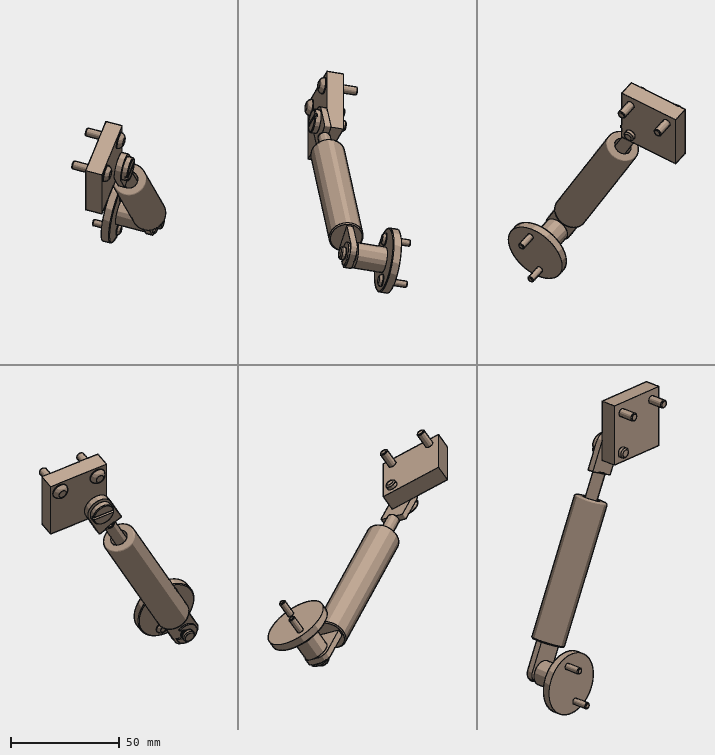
import cadquery as cq
import math


plate_size = 30.0
plate_edge = 5.0
total_y = 86.0
total_z = 139.1
disc_radius = plate_size / 2
plate_y_min = disc_radius - total_y
plate_y_max = plate_y_min + plate_size
plate_z_max = total_z - disc_radius
plate_z_min = plate_z_max - plate_size
pivot_y = plate_y_max - plate_edge
pivot_z = plate_z_min + plate_edge
strut_length = math.hypot(pivot_y, pivot_z)
strut_tilt = math.degrees(math.atan2(-pivot_y, pivot_z))
strut_x = 20.3
blade_thickness = 3.0
blade_x_min = strut_x - blade_thickness / 2
blade_x_max = strut_x + blade_thickness / 2

disc_thickness = 4.0
disc_chamfer = 0.4
base_angle = 15.0
boss_radius = 6.0
boss_length = 13.9
pin_radius = 2.9
pin_end_x = 25.2
pin_chamfer = 0.5

clip_radius = 5.4
clip_thickness = 0.8
clip_groove_radius = 2.5
clip_groove_width = 1.1

screw_protrusion = 7.9
screw_chamfer = 0.4
base_screw_radius = 1.5
base_head_radius = 2.9
base_head_height = 1.7
base_screw_circle = 10.0
plate_screw_radius = 2.0
plate_head_radius = 3.9
plate_head_height = 2.5
head_rim = 0.4
dome_bulge = 0.125

plate_thickness = 7.9
plate_x_max = blade_x_min
plate_x_min = plate_x_max - plate_thickness
pivot_radius = 2.5
pivot_protrusion = 2.4
pivot_chamfer = 0.7
pivot_head_radius = 5.5
pivot_head_height = 2.9
pivot_head_chamfer = 0.4
pivot_slot_width = 1.3
pivot_slot_depth = 1.3

cylinder_radius = 7.9
cylinder_start = 13.9
cylinder_length = 69.8
cylinder_end = cylinder_start + cylinder_length
cylinder_top_fillet = 1.0
cylinder_bottom_chamfer = 0.5
bore_radius = 4.0
bore_depth = 50.1

rod_radius = 2.9
rod_chamfer = 0.4
rod_start = cylinder_end - bore_depth

blade_half_width = 6.5
rod_blade_tip = 7.4
cylinder_blade_tip = 4.7
cylinder_blade_corner = 4.3
blade_reach = 12.8
blade_corner = 0.5
rod_overlap = 0.5


def x_cylinder(radius, x_start, x_end, y=0.0, z=0.0):
    """Cylinder parallel to X."""
    return cq.Workplane("YZ", origin=(x_start, y, z)).circle(radius).extrude(x_end - x_start)


def strut_cylinder(radius, start, end):
    """Cylinder along the untilted strut."""
    return cq.Workplane("XY", origin=(strut_x, 0, start)).circle(radius).extrude(end - start)


def blade_bar(start, end):
    """Flat bar along the untilted strut."""
    bar = cq.Workplane("XY", origin=(strut_x, 0, start))
    return bar.rect(blade_thickness, 2 * blade_half_width).extrude(end - start)


def rod_blade():
    """Bar round the upper pivot, with a half-round tip."""
    tip_center = strut_length + rod_blade_tip - blade_half_width
    bar = blade_bar(strut_length - blade_reach, tip_center)
    bar = bar.faces("<Z").edges("|X").fillet(blade_corner)
    return bar.union(x_cylinder(blade_half_width, blade_x_min, blade_x_max, 0, tip_center))


def cylinder_blade():
    """Bar round the base pivot, with a flat tip whose corners are rounded."""
    bar = blade_bar(-cylinder_blade_tip, cylinder_start)
    return bar.faces("<Z").edges("|X").fillet(cylinder_blade_corner)


def place_strut(body):
    """Tilt a strut body about the base axis."""
    return body.rotate((0, 0, 0), (1, 0, 0), strut_tilt)


def button_screw(seat_x, grip, shank_radius, head_radius, head_height, y, z):
    """Dome-headed screw; its head sits on the face at seat_x and its shank points to -X."""
    tip_x = seat_x - grip - screw_protrusion
    shank = x_cylinder(shank_radius, tip_x, seat_x, y, z).faces("<X").chamfer(screw_chamfer)
    rim_x = seat_x + head_rim
    top_x = seat_x + head_height
    flat_radius = shank_radius
    chord_x = top_x - rim_x
    chord_r = head_radius - flat_radius
    chord = math.hypot(chord_x, chord_r)
    bulge = chord * dome_bulge
    middle = (
        (rim_x + top_x) / 2 + bulge * chord_r / chord,
        (head_radius + flat_radius) / 2 + bulge * chord_x / chord,
    )
    head = (
        cq.Workplane("XY")
        .moveTo(seat_x, 0)
        .lineTo(seat_x, head_radius)
        .lineTo(rim_x, head_radius)
        .threePointArc(middle, (top_x, flat_radius))
        .lineTo(top_x, 0)
        .close()
        .revolve(360, (0, 0, 0), (1, 0, 0))
        .translate((0, y, z))
    )
    return shank.union(head)


base_screw_y = base_screw_circle * math.sin(math.radians(base_angle))
base_screw_z = base_screw_circle * math.cos(math.radians(base_angle))
base_screw_places = [(base_screw_y, base_screw_z), (-base_screw_y, -base_screw_z)]

plate_screw_z = plate_z_max - plate_edge
plate_screw_places = [(pivot_y, plate_screw_z), (plate_y_min + plate_edge, plate_screw_z)]


def make_base():
    disc = x_cylinder(disc_radius, 0, disc_thickness).faces(">X").chamfer(disc_chamfer)
    boss = x_cylinder(boss_radius, disc_thickness, disc_thickness + boss_length)
    pin = x_cylinder(pin_radius, disc_thickness, pin_end_x).faces(">X").chamfer(pin_chamfer)
    base = disc.union(boss).union(pin)
    groove_end = blade_x_max + clip_groove_width
    groove = x_cylinder(pin_radius, blade_x_max, groove_end).cut(
        x_cylinder(clip_groove_radius, blade_x_max, groove_end)
    )
    base = base.cut(groove)
    for y, z in base_screw_places:
        base = base.cut(x_cylinder(base_screw_radius, 0, disc_thickness, y, z))
    return base


def make_clip():
    clip_end = blade_x_max + clip_thickness
    ring = x_cylinder(clip_radius, blade_x_max, clip_end)
    ring = ring.cut(x_cylinder(clip_groove_radius, blade_x_max, clip_end))
    mouth_center = (blade_x_max + clip_thickness / 2, -clip_radius / 2, 0)
    mouth = cq.Workplane("XY", origin=mouth_center)
    mouth = mouth.box(clip_thickness, clip_radius, 2 * clip_groove_radius)
    return ring.cut(mouth.rotate((0, 0, 0), (1, 0, 0), -base_angle))


def make_plate():
    plate = cq.Workplane("XY").box(plate_thickness, plate_size, plate_size, centered=False)
    plate = plate.translate((plate_x_min, plate_y_min, plate_z_min))
    for y, z in plate_screw_places:
        plate = plate.cut(x_cylinder(plate_screw_radius, plate_x_min, plate_x_max, y, z))
    return plate.cut(x_cylinder(pivot_radius, plate_x_min, plate_x_max, pivot_y, pivot_z))


def make_pivot_screw():
    tip_x = plate_x_min - pivot_protrusion
    head_end = blade_x_max + pivot_head_height
    shank = x_cylinder(pivot_radius, tip_x, blade_x_max, pivot_y, pivot_z)
    shank = shank.faces("<X").chamfer(pivot_chamfer)
    head = x_cylinder(pivot_head_radius, blade_x_max, head_end, pivot_y, pivot_z)
    head = head.faces(">X").chamfer(pivot_head_chamfer)
    slot = cq.Workplane("XY").box(2 * pivot_slot_depth, 2 * pivot_head_radius, pivot_slot_width)
    slot = slot.translate((head_end, pivot_y, pivot_z))
    return shank.union(head).cut(slot)


def make_cylinder():
    barrel = strut_cylinder(cylinder_radius, cylinder_start, cylinder_end)
    barrel = barrel.faces(">Z").edges().fillet(cylinder_top_fillet)
    barrel = barrel.faces("<Z").chamfer(cylinder_bottom_chamfer)
    barrel = barrel.cut(strut_cylinder(bore_radius, rod_start, cylinder_end))
    pin_hole = x_cylinder(pin_radius, blade_x_min, blade_x_max)
    return place_strut(barrel.union(cylinder_blade()).cut(pin_hole))


def make_rod():
    rod_end = strut_length - blade_reach + rod_overlap
    rod = strut_cylinder(rod_radius, rod_start, rod_end).faces(">Z").chamfer(rod_chamfer)
    pivot_hole = x_cylinder(pivot_radius, blade_x_min, blade_x_max, 0, strut_length)
    return place_strut(rod.union(rod_blade()).cut(pivot_hole))


base = make_base()
clip = make_clip()
plate = make_plate()
pivot_screw = make_pivot_screw()
cylinder = make_cylinder()
rod = make_rod()
base_screws = [
    button_screw(disc_thickness, disc_thickness, base_screw_radius,
                 base_head_radius, base_head_height, y, z)
    for y, z in base_screw_places
]
plate_screws = [
    button_screw(plate_x_max, plate_thickness, plate_screw_radius,
                 plate_head_radius, plate_head_height, y, z)
    for y, z in plate_screw_places
]

bodies = [base, clip, plate, pivot_screw, cylinder, rod, *base_screws, *plate_screws]
result = cq.Compound.makeCompound([body.val() for body in bodies])